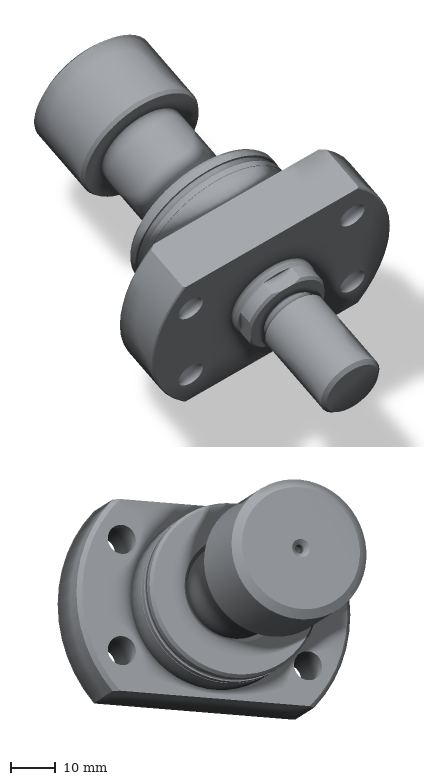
import cadquery as cq
import math

TOTAL_LENGTH = 102.0

HEAD_DIAMETER = 32.0
HEAD_LENGTH = 20.4
HEAD_FRONT_CHAMFER_LENGTH = 1.3
HEAD_FRONT_CHAMFER_DEPTH = 2.0
HEAD_BACK_CHAMFER_LENGTH = 0.9
HEAD_BACK_CHAMFER_DEPTH = 0.5
SHANK_DIAMETER = 22.0
SHANK_END = 72.8
SHANK_TAPER_LENGTH = 0.9
WRENCH_DIAMETER = 21.4
WRENCH_ACROSS_FLATS = 20.0
WRENCH_CHAMFER = 0.6
ROD_END = 76.9
FLAT_COUNT = 4

CENTRE_MOUTH_DIAMETER = 4.2
CENTRE_PILOT_DIAMETER = 2.0
CENTRE_PILOT_LENGTH = 2.0
CENTRE_CONE_ANGLE = 90.0
DRILL_TIP_ANGLE = 120.0

NOSE_START = 43.5
NOSE_DIAMETER = 40.0
NOSE_CHAMFER_LENGTH = 0.9
NOSE_CHAMFER_DEPTH = 0.6
GROOVE_START = 46.2
GROOVE_WIDTH = 1.8
GROOVE_DEPTH = 0.6
FINE_GROOVE_START = 49.6
FINE_GROOVE_WIDTH = 0.3
FINE_GROOVE_DEPTH = 0.1
PLATE_START = 56.9
PLATE_END = 70.7
PLATE_DIAMETER = 65.0
PLATE_HEIGHT = 44.0
PLATE_FRONT_CHAMFER = 1.0
PLATE_BACK_CHAMFER = 0.3
BORE_CHAMFER = 1.0
BOLT_CIRCLE_DIAMETER = 51.0
BOLT_HOLE_DIAMETER = 6.6
BOLT_ANGLES = (30, 150, 210, 330)

STUD_FOOT_DIAMETER = 12.6
STUD_FOOT_LENGTH = 0.6
NECK_DIAMETER = 13.9
STUD_DIAMETER = 16.0
STUD_SHOULDER = 79.6
STUD_SHOULDER_CHAMFER_LENGTH = 0.3
STUD_END_CHAMFER = 0.9


def revolve_profile(points):
    """Revolve an outline of (x, radius) points about the X axis."""
    return cq.Workplane("XY").polyline(points).close().revolve(360, (0, 0, 0), (1, 0, 0))


def make_centre_hole():
    mouth_radius = CENTRE_MOUTH_DIAMETER / 2
    pilot_radius = CENTRE_PILOT_DIAMETER / 2
    cone_length = (mouth_radius - pilot_radius) / math.tan(math.radians(CENTRE_CONE_ANGLE / 2))
    tip_length = pilot_radius / math.tan(math.radians(DRILL_TIP_ANGLE / 2))
    pilot_end = cone_length + CENTRE_PILOT_LENGTH
    return revolve_profile([
        (0, 0),
        (0, mouth_radius),
        (cone_length, pilot_radius),
        (pilot_end, pilot_radius),
        (pilot_end + tip_length, 0),
    ])


def make_wrench_flats():
    """Four blocks that leave the wrench section with its flats."""
    flat_length = ROD_END - SHANK_END
    block_height = SHANK_DIAMETER - WRENCH_ACROSS_FLATS
    block = cq.Workplane("XY").box(flat_length, SHANK_DIAMETER, block_height, centered=(False, True, False))
    block = block.translate((SHANK_END, 0, WRENCH_ACROSS_FLATS / 2))
    flats = cq.Workplane("XY")
    for index in range(FLAT_COUNT):
        flats = flats.add(block.rotate((0, 0, 0), (1, 0, 0), index * 360 / FLAT_COUNT))
    return flats.combine()


def make_rod():
    head_radius = HEAD_DIAMETER / 2
    shank_radius = SHANK_DIAMETER / 2
    wrench_radius = WRENCH_DIAMETER / 2
    rod = revolve_profile([
        (0, 0),
        (0, head_radius - HEAD_FRONT_CHAMFER_DEPTH),
        (HEAD_FRONT_CHAMFER_LENGTH, head_radius),
        (HEAD_LENGTH - HEAD_BACK_CHAMFER_LENGTH, head_radius),
        (HEAD_LENGTH, head_radius - HEAD_BACK_CHAMFER_DEPTH),
        (HEAD_LENGTH, shank_radius),
        (SHANK_END - SHANK_TAPER_LENGTH, shank_radius),
        (SHANK_END, wrench_radius),
        (ROD_END - WRENCH_CHAMFER, wrench_radius),
        (ROD_END, wrench_radius - WRENCH_CHAMFER),
        (ROD_END, 0),
    ])
    return rod.cut(make_centre_hole()).cut(make_wrench_flats())


def make_ring_groove(start, width, depth):
    """Ring that cuts a square groove into the nose."""
    outer_radius = NOSE_DIAMETER / 2
    return revolve_profile([
        (start, outer_radius - depth),
        (start, outer_radius),
        (start + width, outer_radius),
        (start + width, outer_radius - depth),
    ])


def make_nose():
    radius = NOSE_DIAMETER / 2
    nose = revolve_profile([
        (NOSE_START, 0),
        (NOSE_START, radius - NOSE_CHAMFER_DEPTH),
        (NOSE_START + NOSE_CHAMFER_LENGTH, radius),
        (PLATE_START, radius),
        (PLATE_START, 0),
    ])
    nose = nose.cut(make_ring_groove(GROOVE_START, GROOVE_WIDTH, GROOVE_DEPTH))
    return nose.cut(make_ring_groove(FINE_GROOVE_START, FINE_GROOVE_WIDTH, FINE_GROOVE_DEPTH))


def make_plate():
    """Chamfered disc trimmed flat on its top and bottom."""
    radius = PLATE_DIAMETER / 2
    disc = revolve_profile([
        (PLATE_START, 0),
        (PLATE_START, radius - PLATE_FRONT_CHAMFER),
        (PLATE_START + PLATE_FRONT_CHAMFER, radius),
        (PLATE_END - PLATE_BACK_CHAMFER, radius),
        (PLATE_END, radius - PLATE_BACK_CHAMFER),
        (PLATE_END, 0),
    ])
    slab_center = ((PLATE_START + PLATE_END) / 2, 0, 0)
    slab = cq.Workplane("XY").box(PLATE_END - PLATE_START, PLATE_DIAMETER, PLATE_HEIGHT)
    return disc.intersect(slab.translate(slab_center))


def make_bore():
    """Bore that fits the shank, opened by a chamfer at the nose face."""
    radius = SHANK_DIAMETER / 2
    return revolve_profile([
        (NOSE_START, 0),
        (NOSE_START, radius + BORE_CHAMFER),
        (NOSE_START + BORE_CHAMFER, radius),
        (PLATE_END, radius),
        (PLATE_END, 0),
    ])


def make_bolt_holes():
    bolt_radius = BOLT_CIRCLE_DIAMETER / 2
    centers = [
        (bolt_radius * math.cos(math.radians(angle)), bolt_radius * math.sin(math.radians(angle)))
        for angle in BOLT_ANGLES
    ]
    holes = cq.Workplane("YZ", origin=(PLATE_START, 0, 0)).pushPoints(centers)
    return holes.circle(BOLT_HOLE_DIAMETER / 2).extrude(PLATE_END - PLATE_START)


def make_flange():
    return make_nose().union(make_plate()).cut(make_bore()).cut(make_bolt_holes())


def make_stud():
    foot_radius = STUD_FOOT_DIAMETER / 2
    neck_radius = NECK_DIAMETER / 2
    stud_radius = STUD_DIAMETER / 2
    return revolve_profile([
        (ROD_END, 0),
        (ROD_END, foot_radius),
        (ROD_END + STUD_FOOT_LENGTH, foot_radius),
        (ROD_END + STUD_FOOT_LENGTH, neck_radius),
        (STUD_SHOULDER - STUD_SHOULDER_CHAMFER_LENGTH, neck_radius),
        (STUD_SHOULDER, stud_radius),
        (TOTAL_LENGTH - STUD_END_CHAMFER, stud_radius),
        (TOTAL_LENGTH, stud_radius - STUD_END_CHAMFER),
        (TOTAL_LENGTH, 0),
    ])


rod = make_rod()
flange = make_flange()
stud = make_stud()

result = cq.Compound.makeCompound([rod.val(), flange.val(), stud.val()])